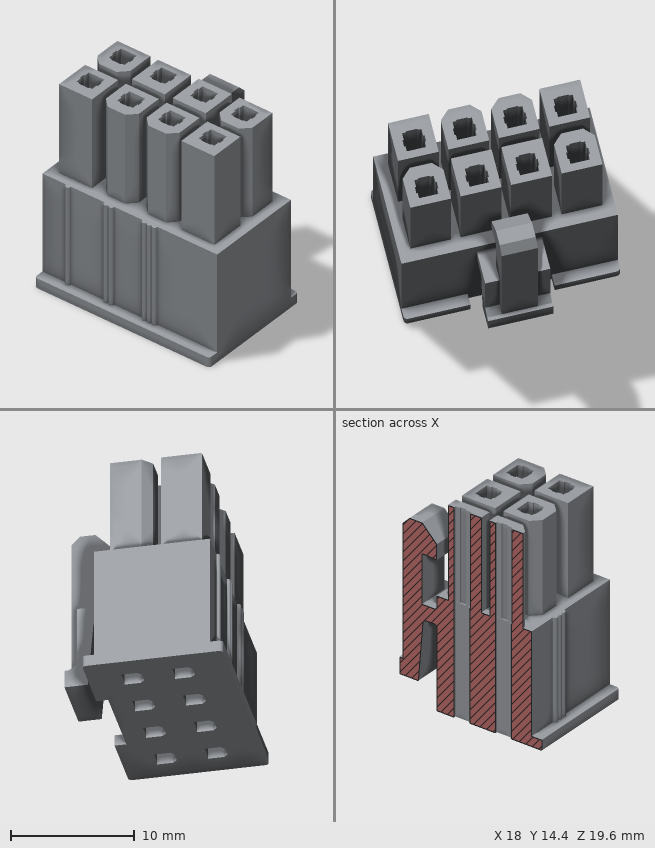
import cadquery as cq


total_height = 19.6
body_width = 18.0
body_depth = 9.6
body_top = 10.75

flange_thickness = 0.98
flange_front = 1.02
flange_back = 0.98
flange_corner_radius = 0.31
flange_gap_width = 7.0

pitch = 4.2
tower_size = 3.4
tower_chamfer = 0.78
back_row_gap = 1.12
keyed_towers = [
    [False, True, True, False],
    [True, False, False, True],
]

socket_size = 1.6
socket_back_wall = 0.65
notch_width = 0.57
notch_depth = 0.12
notch_to_tower_back = 1.4
passage_width = 1.55
passage_length = 1.7
passage_chamfer = 0.33

rib_width = 0.5
rib_height = 0.3

latch_width = 5.4
beam_width = 3.0
foot_reach = 3.78
beam_outer_reach = 3.45
arm_outer_reach = 2.76
beam_inner_reach = 1.47
lever_top_reach = 1.37
lever_bottom_reach = 1.86
foot_bottom = 2.15
foot_top = 3.72
foot_slope_top = 4.17
arm_bottom = 8.0
arm_top = 9.45
arm_fillet = 0.3
hook_top = 17.03
hook_chamfer = 0.7
hook_ramp_height = 1.5
hook_tip_bottom = 14.05
hook_root_bottom = 14.13

rib_radius = rib_width / 2
column_count = len(keyed_towers[0])
column_x = [(i - (column_count - 1) / 2) * pitch for i in range(column_count)]
back_row_y = body_depth - back_row_gap - tower_size / 2
row_y = [back_row_y - pitch, back_row_y]


def block(width, y_front, y_back, z_bottom, z_top, x=0.0):
    """Box centred on x, given by its front, back, bottom and top places."""
    depth = y_back - y_front
    height = z_top - z_bottom
    corner = (x - width / 2, y_front, z_bottom)
    return cq.Workplane("XY").box(width, depth, height, centered=False).translate(corner)


def make_flange():
    back = body_depth + flange_back
    flange = block(body_width, -flange_front, back, 0, flange_thickness)
    flange = flange.edges("|Z").fillet(flange_corner_radius)
    return flange.cut(block(flange_gap_width, body_depth, back, 0, flange_thickness))


def make_tower(x, y, keyed):
    half = tower_size / 2
    tower = block(tower_size, y - half, y + half, body_top, total_height, x)
    if keyed:
        tower = tower.faces("<Y").edges("|Z").chamfer(tower_chamfer)
    return tower


def make_contact_hole(x, y):
    """Socket as deep as the tower, with side notches, over a narrower passage right through."""
    tower_back = y + tower_size / 2
    hole_back = tower_back - socket_back_wall
    notch_y = tower_back - notch_to_tower_back
    notch_span = socket_size + 2 * notch_depth
    half_notch = notch_width / 2
    passage = block(passage_width, hole_back - passage_length, hole_back, 0, total_height, x)
    passage = passage.faces("<Y").edges("|Z").chamfer(passage_chamfer)
    socket = block(socket_size, hole_back - socket_size, hole_back, body_top, total_height, x)
    notches = block(notch_span, notch_y - half_notch, notch_y + half_notch, body_top, total_height, x)
    return passage.union(socket).union(notches)


def make_rib(x):
    """Upright rib with a half-round nose, standing on a short straight root."""
    root = rib_height - rib_radius
    return (
        cq.Workplane("XY", origin=(x, 0, flange_thickness))
        .moveTo(-rib_radius, 0)
        .lineTo(-rib_radius, -root)
        .threePointArc((0, -rib_height), (rib_radius, -root))
        .lineTo(rib_radius, 0)
        .close()
        .extrude(body_top - flange_thickness)
    )


def make_latch():
    """Full-width lever and arm, with a narrower hooked beam along the middle."""
    side_plane = cq.Workplane("YZ", origin=(0, body_depth, 0))
    lever = (
        side_plane.moveTo(0, arm_top + arm_fillet)
        .radiusArc((arm_fillet, arm_top), -arm_fillet)
        .lineTo(arm_outer_reach, arm_top)
        .lineTo(arm_outer_reach, foot_slope_top)
        .lineTo(beam_outer_reach, foot_top)
        .lineTo(foot_reach, foot_top)
        .lineTo(foot_reach, foot_bottom)
        .lineTo(lever_bottom_reach, foot_bottom)
        .lineTo(lever_top_reach, arm_bottom)
        .lineTo(arm_fillet, arm_bottom)
        .radiusArc((0, arm_bottom - arm_fillet), -arm_fillet)
        .close()
        .extrude(latch_width / 2, both=True)
    )
    inner_corner = (0, body_depth + lever_top_reach, arm_bottom)
    lever = lever.edges(cq.NearestToPointSelector(inner_corner)).fillet(arm_fillet)
    beam = (
        side_plane.moveTo(beam_outer_reach, foot_top)
        .lineTo(beam_outer_reach, hook_top - hook_chamfer)
        .lineTo(beam_outer_reach - hook_chamfer, hook_top)
        .lineTo(beam_inner_reach, hook_top)
        .lineTo(0, hook_top - hook_ramp_height)
        .lineTo(0, hook_tip_bottom)
        .lineTo(beam_inner_reach, hook_root_bottom)
        .lineTo(beam_inner_reach, arm_top)
        .lineTo(arm_outer_reach, arm_top)
        .lineTo(arm_outer_reach, foot_slope_top)
        .close()
        .extrude(beam_width / 2, both=True)
    )
    return lever.union(beam)


result = block(body_width, 0, body_depth, 0, body_top).union(make_flange())

for group, x in enumerate(column_x[:3]):
    for i in range(group + 1):
        result = result.union(make_rib(x + (i - group / 2) * rib_width))

result = result.union(make_latch())

for y, keyed_row in zip(row_y, keyed_towers):
    for x, keyed in zip(column_x, keyed_row):
        result = result.union(make_tower(x, y, keyed))
        result = result.cut(make_contact_hole(x, y))